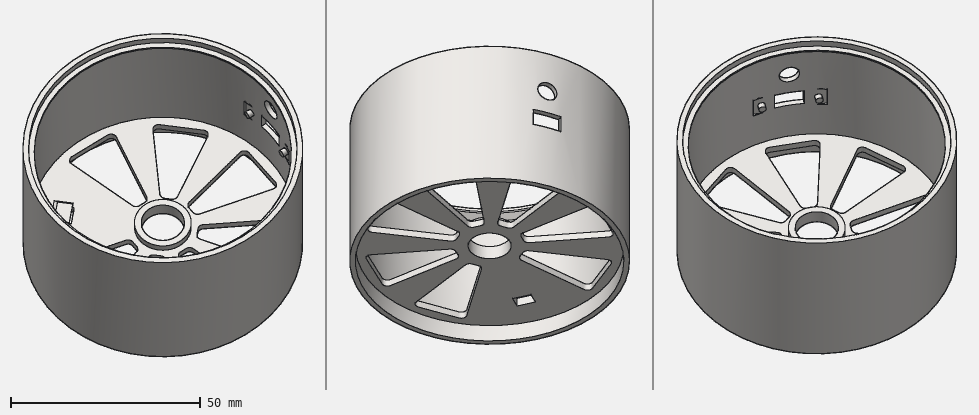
import cadquery as cq
import math

outer_diameter = 74.0
height = 43.4
bore_diameter = 71.0
bore_radius = bore_diameter / 2

ledge_diameter = 68.0
ledge_drop = 2.0
ledge_edge_height = 0.5
ledge_overhang = (bore_diameter - ledge_diameter) / 2
ledge_top = height - ledge_drop

floor_bottom = 5.0
floor_thickness = 2.0
floor_top = floor_bottom + floor_thickness

hub_diameter = 15.0
hub_height = 2.0
hub_hole_diameter = 11.4

window_positions = 8
window_pitch = 360 / window_positions
hooded_position = 5
window_inner_distance = 9.25
window_outer_distance = 32.55
window_inner_width = 4.15
window_outer_width = 15.55
window_corner_radius = 1.5

hood_length = 8.15
hood_width = 5.1
hood_height = 1.0
hood_slope_run = hood_height
hood_face_distance = 24.6
duct_length = 5.2
duct_width = 3.0
duct_height = 0.5
slit_width = 0.45

round_hole_diameter = 5.5
round_hole_center_height = 31.0
port_width = 8.0
port_height = 4.9
port_center_height = 21.5

recess_outer_x = 10.0
recess_floor_y = 34.7
recess_height = 6.0
peg_diameter = 2.0
peg_length = 1.5
peg_x = 7.7


def disc(diameter, bottom, top):
    """Solid cylinder on the Z axis between two heights."""
    return cq.Workplane("XY").workplane(offset=bottom).circle(diameter / 2).extrude(top - bottom)


def shell():
    """Open tube with a ledge that is chamfered underneath."""
    tube = disc(outer_diameter, 0, height).cut(disc(bore_diameter, 0, height))
    edge_bottom = ledge_top - ledge_edge_height
    profile = [
        (ledge_diameter / 2, ledge_top),
        (outer_diameter / 2, ledge_top),
        (outer_diameter / 2, edge_bottom - ledge_overhang),
        (bore_radius, edge_bottom - ledge_overhang),
        (ledge_diameter / 2, edge_bottom),
    ]
    ledge = cq.Workplane("XZ").polyline(profile).close().revolve(360, (0, 0, 0), (0, 1, 0))
    return tube.union(ledge)


def turn_to_position(shape, position):
    """Turn a shape built along +X into one of the equally spaced sectors."""
    return shape.rotate((0, 0, 0), (0, 0, 1), position * window_pitch)


def window():
    """Trapezoidal cutter pointing along +X, with rounded corners."""
    corners = [
        (window_inner_distance, -window_inner_width / 2),
        (window_outer_distance, -window_outer_width / 2),
        (window_outer_distance, window_outer_width / 2),
        (window_inner_distance, window_inner_width / 2),
    ]
    floor_plane = cq.Workplane("XY").workplane(offset=floor_bottom)
    blank = floor_plane.polyline(corners).close().extrude(floor_thickness)
    return blank.edges("|Z").fillet(window_corner_radius)


def spoked_floor():
    """Floor disc with its hub and every window except the hooded one."""
    plate = disc(outer_diameter, floor_bottom, floor_top)
    plate = plate.union(disc(hub_diameter, floor_top, floor_top + hub_height))
    plate = plate.cut(disc(hub_hole_diameter, floor_bottom, floor_top + hub_height))
    for position in range(window_positions):
        if position != hooded_position:
            plate = plate.cut(turn_to_position(window(), position))
    return plate


def hood():
    """Block with one upright face toward the hub and three sloping sides."""
    top_length = hood_length - 2 * hood_slope_run
    top_width = hood_width - hood_slope_run
    block = (
        cq.Workplane("XY", origin=(hood_face_distance, 0, floor_top))
        .center(hood_width / 2, 0)
        .rect(hood_width, hood_length)
        .workplane(offset=hood_height)
        .center((top_width - hood_width) / 2, 0)
        .rect(top_width, top_length)
        .loft(ruled=True)
    )
    return turn_to_position(block, hooded_position)


def hood_duct():
    """Passage through the floor, opening at the hood's upright face."""
    passage = cq.Workplane("XY").box(
        duct_width + slit_width, duct_length, floor_thickness + duct_height, centered=(False, True, False)
    )
    passage = passage.translate((hood_face_distance - slit_width, 0, floor_bottom))
    return turn_to_position(passage, hooded_position)


def wall_openings():
    """Round hole and rectangular port through the +Y wall."""
    wall_plane = cq.Workplane("XZ", origin=(0, outer_diameter / 2, 0))
    depth = outer_diameter / 2 - hub_diameter / 2
    hole = wall_plane.center(0, round_hole_center_height).circle(round_hole_diameter / 2).extrude(depth)
    port = wall_plane.center(0, port_center_height).rect(port_width, port_height).extrude(depth)
    return hole.union(port)


def mount_recess(side):
    """Cutter for a flat recess that runs out where it meets the curved bore."""
    runout_x = math.sqrt(bore_radius**2 - recess_floor_y**2)
    center_x = side * (recess_outer_x + runout_x) / 2
    plane = cq.Workplane("XZ", origin=(center_x, recess_floor_y, port_center_height))
    return plane.rect(recess_outer_x - runout_x, recess_height).extrude(peg_length)


def peg(side):
    """Locating peg rising from the recess, rooted in the wall."""
    plane = cq.Workplane("XZ", origin=(side * peg_x, bore_radius, port_center_height))
    return plane.circle(peg_diameter / 2).extrude(bore_radius - recess_floor_y + peg_length)


result = shell().union(spoked_floor()).union(hood()).cut(hood_duct()).cut(wall_openings())
for side in (-1, 1):
    result = result.cut(mount_recess(side)).union(peg(side))